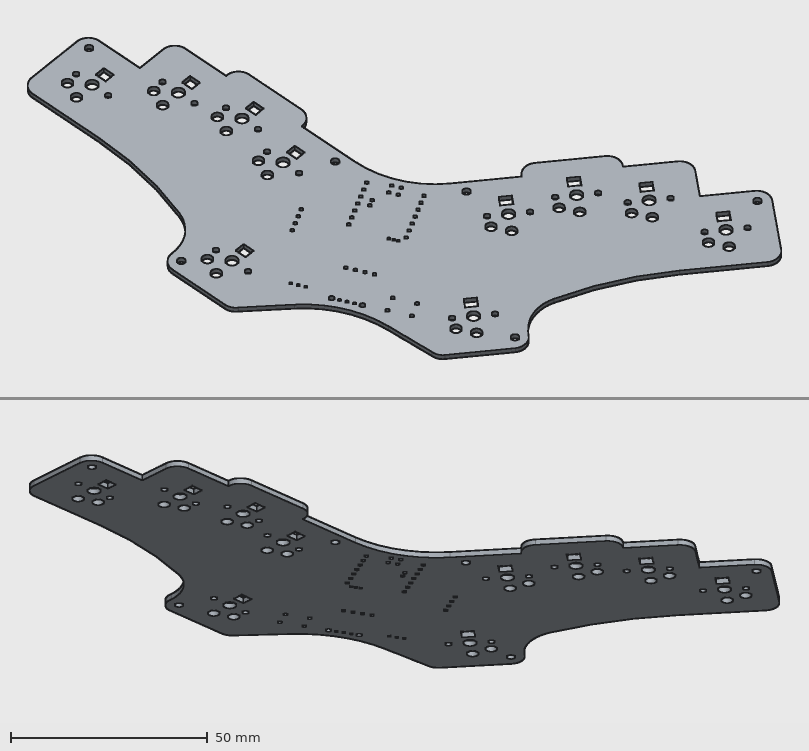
import cadquery as cq
import math

THICKNESS = 1.58

TILT = 25.0
KEY_WIDTH = 18.0
KEY_DEPTH = 17.0
PINKY_KEY = (-84.33, 21.9)
KEY_OFFSETS = {
    "pinky": (0, 0),
    "ring": (KEY_WIDTH, 0.75 * KEY_DEPTH),
    "middle": (2 * KEY_WIDTH, KEY_DEPTH),
    "index": (3 * KEY_WIDTH, 0.75 * KEY_DEPTH),
    "thumb": (3.75 * KEY_WIDTH, -1.25 * KEY_DEPTH),
}

MARGIN = 4.0
CORNER_RADIUS = MARGIN
HALF_WIDTH = KEY_WIDTH / 2 + MARGIN
HALF_DEPTH = KEY_DEPTH / 2 + MARGIN
TOP_VALLEY_RADIUS = 30.0
BOTTOM_VALLEY_RADIUS = 34.0
BOTTOM_VALLEY_Y = -30.8
PALM_RADIUS = 100.0
PALM_BEND_OFFSET = 30.6
PALM_SLOPE = 44.2
THUMB_NECK_RADIUS = 11.7
THUMB_HEEL_OFFSET = 10.7

STEM_HOLE = 3.4
PIN_HOLE = 3.0
PIN_POINTS = [(0, -5.9), (-5.0, -3.8)]
POST_HOLE = 1.7
POST_SPREAD = 5.5
LIGHT_WINDOW = (3.4, 3.0)
LIGHT_WINDOW_OFFSET = 4.75

MOUNT_HOLE = 2.2
MOUNT_POINTS = [(-88.9, 33.87), (-17.47, 14.9), (-44.4, -29.8)]

HEADER_PITCH = 2.54
HEADER_HOLE = 1.0
SMALL_PART_PINS = 3

CONTROLLER_PINS = 7
CONTROLLER_ROW_SPACING = 6 * HEADER_PITCH
CONTROLLER_Y = 2.64
DEBUG_PADS_Y = 9.93
BATTERY_PADS_CENTRE = (-4.5, 3.9)
BATTERY_PADS_PITCH = 1.9

SIDE_HEADER_CENTRE = (-20.7, -7.36)
LOWER_HEADER_CENTRE = (0, -19.58)
HEADER_PINS = 4

TRANSISTOR_HOLE = 0.75
TRANSISTOR_PITCH = 1.27
TRANSISTOR_CENTRE = (4.82, -6.64)

BATTERY_PLUG_HOLE = 0.75
BATTERY_PLUG_PITCH = 2.0
BATTERY_PLUG_CENTRE = (-13.55, -28.93)

SLIDE_SWITCH_Y = -30.75
SLIDE_SWITCH_HOLE = 0.8
SLIDE_SWITCH_PITCH = 2.0
SLIDE_SWITCH_PEG_HOLE = 1.5
SLIDE_SWITCH_PEG_SPREAD = 4.1

BUTTON_HOLE = 1.1
BUTTON_CENTRE = (13.93, -28.3)
BUTTON_SPACING = (6.5, 4.5)


def mirrored(point):
    """The matching point on the other half of the board."""
    return (-point[0], point[1])


def offset_point(centre, across, along, angle):
    """Move from centre by a local offset in a frame rotated by angle degrees."""
    turn = math.radians(angle)
    x = centre[0] + across * math.cos(turn) - along * math.sin(turn)
    y = centre[1] + across * math.sin(turn) + along * math.cos(turn)
    return (x, y)


def line_crossing(start, angle, other_start, other_angle):
    """Where two lines meet, each given by a point and a direction in degrees."""
    dx = math.cos(math.radians(angle))
    dy = math.sin(math.radians(angle))
    ex = math.cos(math.radians(other_angle))
    ey = math.sin(math.radians(other_angle))
    gap_x = other_start[0] - start[0]
    gap_y = other_start[1] - start[1]
    distance = (gap_x * ey - gap_y * ex) / (dx * ey - dy * ex)
    return (start[0] + distance * dx, start[1] + distance * dy)


def rounded_corner(before, corner, after, radius):
    """Start, middle and end of the arc that rounds a corner between two lines."""
    to_before = cq.Vector(before[0] - corner[0], before[1] - corner[1]).normalized()
    to_after = cq.Vector(after[0] - corner[0], after[1] - corner[1]).normalized()
    half_angle = to_before.getAngle(to_after) / 2
    tangent_length = radius / math.tan(half_angle)
    depth = radius / math.sin(half_angle) - radius
    tip = cq.Vector(*corner)
    bisector = (to_before + to_after).normalized()
    return (tip + to_before * tangent_length, tip + bisector * depth, tip + to_after * tangent_length)


def rounded_polygon(corners):
    """Plate from (point, radius) corners; a zero radius leaves the corner sharp."""
    outline = None
    for index, (point, radius) in enumerate(corners):
        if radius == 0:
            stops = [cq.Vector(*point)]
        else:
            before = corners[index - 1][0]
            after = corners[(index + 1) % len(corners)][0]
            stops = rounded_corner(before, point, after, radius)
        start = stops[0].toTuple()[:2]
        outline = cq.Workplane("XY").moveTo(*start) if outline is None else outline.lineTo(*start)
        if radius > 0:
            outline = outline.threePointArc(stops[1].toTuple()[:2], stops[2].toTuple()[:2])
    return outline.close().extrude(THICKNESS)


def key_pad(centre, angle):
    """Rounded rectangle of board around one key."""
    return (
        cq.Workplane("XY")
        .rect(2 * HALF_WIDTH, 2 * HALF_DEPTH)
        .extrude(THICKNESS)
        .edges("|Z")
        .fillet(CORNER_RADIUS)
        .rotate((0, 0, 0), (0, 0, 1), angle)
        .translate(centre)
    )


def board_web(keys):
    """The middle of the board, joining all key pads."""
    index_top = offset_point(keys["index"], 0, HALF_DEPTH, -TILT)
    top_valley = line_crossing(index_top, -TILT, (0, 0), 90)
    palm_bend = offset_point(keys["pinky"], PALM_BEND_OFFSET, -HALF_DEPTH, -TILT)
    thumb_side = offset_point(keys["thumb"], -HALF_WIDTH, 0, -TILT)
    thumb_neck = line_crossing(palm_bend, -PALM_SLOPE, thumb_side, 90 - TILT)
    thumb_corner = offset_point(keys["thumb"], -HALF_WIDTH, -HALF_DEPTH, -TILT)
    thumb_heel = offset_point(keys["thumb"], THUMB_HEEL_OFFSET, -HALF_DEPTH, -TILT)
    left_half = [
        (index_top, 0),
        (keys["ring"], 0),
        (keys["pinky"], 0),
        (offset_point(keys["pinky"], 0, -HALF_DEPTH, -TILT), 0),
        (palm_bend, PALM_RADIUS),
        (thumb_neck, THUMB_NECK_RADIUS),
        (thumb_corner, CORNER_RADIUS),
        (thumb_heel, CORNER_RADIUS),
    ]
    right_half = [(mirrored(point), radius) for point, radius in reversed(left_half)]
    bottom_valley = ((0, BOTTOM_VALLEY_Y), BOTTOM_VALLEY_RADIUS)
    return rounded_polygon([(top_valley, TOP_VALLEY_RADIUS)] + left_half + [bottom_valley] + right_half)


def holes(points, diameter):
    """Round cutters through the board."""
    return cq.Workplane("XY").pushPoints(points).circle(diameter / 2).extrude(THICKNESS)


def hole_grid(centre, columns, rows, column_pitch, row_pitch, diameter):
    """Cutters for a grid of holes centred on a point."""
    return (
        cq.Workplane("XY")
        .center(*centre)
        .rarray(column_pitch, row_pitch, columns, rows)
        .circle(diameter / 2)
        .extrude(THICKNESS)
    )


def small_part_row(centre, pitch, diameter):
    """Cutters for the row of pins of a small component."""
    return hole_grid(centre, SMALL_PART_PINS, 1, pitch, pitch, diameter)


def switch_cutters(centre, angle):
    """Cutters for one key switch: stem, pins, posts and light window."""
    window = cq.Workplane("XY").center(0, LIGHT_WINDOW_OFFSET).rect(*LIGHT_WINDOW).extrude(THICKNESS)
    cutters = [
        holes([(0, 0)], STEM_HOLE),
        holes(PIN_POINTS, PIN_HOLE),
        holes([(-POST_SPREAD, 0), (POST_SPREAD, 0)], POST_HOLE),
        window,
    ]
    return [cutter.rotate((0, 0, 0), (0, 0, 1), angle).translate(centre) for cutter in cutters]


def component_cutters():
    """Cutters for the electronic components in the middle of the board."""
    button_x, button_y = BUTTON_SPACING
    return [
        hole_grid((0, CONTROLLER_Y), 2, CONTROLLER_PINS, CONTROLLER_ROW_SPACING, HEADER_PITCH, HEADER_HOLE),
        hole_grid((0, DEBUG_PADS_Y), 2, 2, HEADER_PITCH, HEADER_PITCH, HEADER_HOLE),
        hole_grid(BATTERY_PADS_CENTRE, 1, 2, BATTERY_PADS_PITCH, BATTERY_PADS_PITCH, HEADER_HOLE),
        hole_grid(SIDE_HEADER_CENTRE, 1, HEADER_PINS, HEADER_PITCH, HEADER_PITCH, HEADER_HOLE),
        hole_grid(LOWER_HEADER_CENTRE, HEADER_PINS, 1, HEADER_PITCH, HEADER_PITCH, HEADER_HOLE),
        small_part_row(TRANSISTOR_CENTRE, TRANSISTOR_PITCH, TRANSISTOR_HOLE),
        small_part_row(BATTERY_PLUG_CENTRE, BATTERY_PLUG_PITCH, BATTERY_PLUG_HOLE),
        small_part_row((0, SLIDE_SWITCH_Y), SLIDE_SWITCH_PITCH, SLIDE_SWITCH_HOLE),
        holes(
            [(-SLIDE_SWITCH_PEG_SPREAD, SLIDE_SWITCH_Y), (SLIDE_SWITCH_PEG_SPREAD, SLIDE_SWITCH_Y)],
            SLIDE_SWITCH_PEG_HOLE,
        ),
        hole_grid(BUTTON_CENTRE, 2, 2, button_x, button_y, BUTTON_HOLE),
    ]


left_keys = {}
for name, (across, along) in KEY_OFFSETS.items():
    left_keys[name] = offset_point(PINKY_KEY, across, along, -TILT)

switch_places = [(centre, -TILT) for centre in left_keys.values()]
switch_places += [(mirrored(centre), TILT) for centre in left_keys.values()]

board = board_web(left_keys)
for centre, angle in switch_places:
    board = board.union(key_pad(centre, angle))

cutters = component_cutters()
cutters.append(holes(MOUNT_POINTS + [mirrored(point) for point in MOUNT_POINTS], MOUNT_HOLE))
for centre, angle in switch_places:
    cutters += switch_cutters(centre, angle)

solids = [solid for cutter in cutters for solid in cutter.solids().vals()]
result = board.cut(cq.Workplane("XY").newObject([cq.Compound.makeCompound(solids)]))